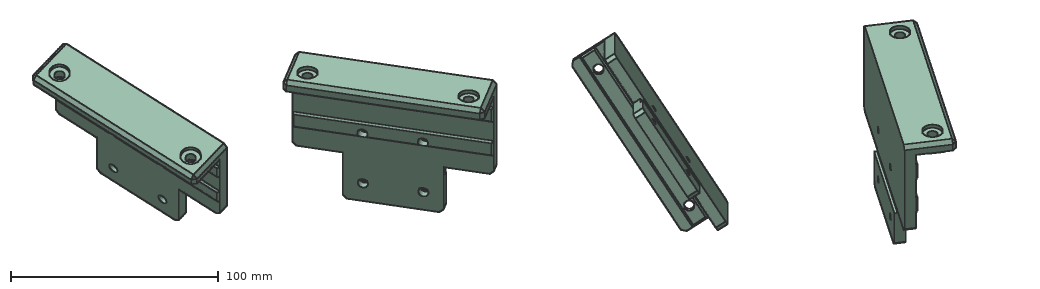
import cadquery as cq

width = 100.0
wall = 5.7
flange_reach = 20.0
body_drop = 46.0
corner_chamfer = 2.0

tab_width = 50.0
tab_drop = 27.0
relief_depth = 1.5
relief_height = 7.0

rib_width = 9.0
rib_height = 1.0
plate_rib_gap = 6.0
plate_rib_pitch = 20.0

flange_hole_inset = 10.0
flange_hole_diameter = 5.0
flange_bore_diameter = 10.0
flange_bore_depth = 2.0

tab_hole_pitch = 30.0
tab_hole_rise = 10.5
tab_hole_diameter = 3.0
tab_bore_diameter = 5.0
tab_bore_depth = 4.0

plate_front = -wall
flange_front = plate_front - flange_reach
flange_hole_y = flange_front + flange_hole_inset
body_bottom = -wall - body_drop
tab_bottom = body_bottom - tab_drop


def block(x_size, back, front, top, bottom):
    """Box centred in X between the given Y and Z limits."""
    return cq.Workplane("XY").box(x_size, back - front, top - bottom).translate(
        (0, (back + front) / 2, (top + bottom) / 2)
    )


def rib(base_plane):
    """Full-width raised pad with 45-degree sides all round, rising along the plane's normal."""
    pad = cq.Workplane(base_plane).rect(width, rib_width)
    return pad.extrude(rib_height, taper=45)


def stepped_hole(mouth, direction, diameter, length, bore_diameter, bore_depth):
    """Cutter for a counterbored hole starting at the mouth."""
    start = cq.Vector(*mouth)
    axis = cq.Vector(*direction)
    hole = cq.Solid.makeCylinder(diameter / 2, length, start, axis)
    bore = cq.Solid.makeCylinder(bore_diameter / 2, bore_depth, start, axis)
    return cq.Workplane(obj=hole).union(cq.Workplane(obj=bore))


plate = block(width, 0, plate_front, 0, body_bottom).edges("|Y").chamfer(corner_chamfer)

flange = block(width, 0, flange_front, 0, -wall)
flange_rim = flange.faces(">Z").edges("not >Y")
flange = flange_rim.add(flange.edges("|Z and <Y")).chamfer(corner_chamfer)

tab = block(tab_width, 0, plate_front, body_bottom, tab_bottom)
tab = tab.edges("|Y and <Z").chamfer(corner_chamfer)
relief = block(tab_width, 0, -relief_depth, body_bottom, body_bottom - relief_height)
result = plate.union(flange).union(tab.cut(relief))

for index in range(2):
    rib_z = -wall - plate_rib_gap - rib_width / 2 - index * plate_rib_pitch
    plate_plane = cq.Plane(origin=(0, plate_front, rib_z), xDir=(1, 0, 0), normal=(0, -1, 0))
    result = result.union(rib(plate_plane))
flange_plane = cq.Plane(origin=(0, flange_hole_y, -wall), xDir=(1, 0, 0), normal=(0, 0, -1))
result = result.union(rib(flange_plane))

for side in (-1, 1):
    result = result.cut(
        stepped_hole(
            (side * (width / 2 - flange_hole_inset), flange_hole_y, 0),
            (0, 0, -1),
            flange_hole_diameter,
            wall + rib_height,
            flange_bore_diameter,
            flange_bore_depth,
        )
    )

tab_mouth_y = plate_front - rib_height
for side in (-1, 1):
    for row in range(2):
        hole_z = tab_bottom + tab_hole_rise + row * tab_hole_pitch
        result = result.cut(
            stepped_hole(
                (side * tab_hole_pitch / 2, tab_mouth_y, hole_z),
                (0, 1, 0),
                tab_hole_diameter,
                wall + rib_height,
                tab_bore_diameter,
                rib_height + tab_bore_depth,
            )
        )